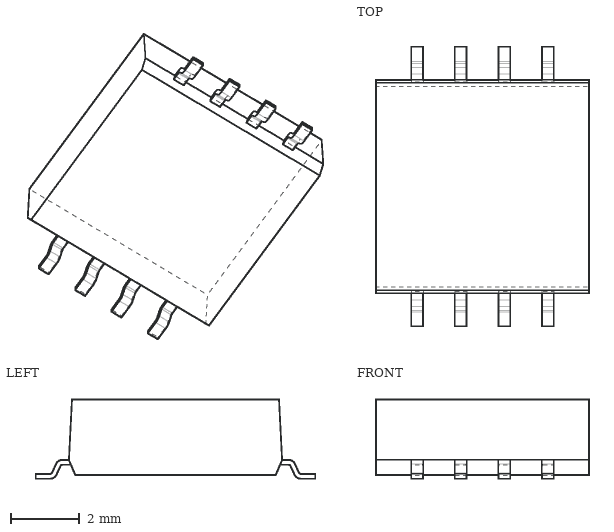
import cadquery as cq
import math

overall_length = 8.13
body_size = 6.2
overall_height = 2.31

standoff = 0.105
parting_height = 0.55
top_inset = 0.09
bottom_inset = 0.19

leads_per_side = 4
lead_pitch = 1.27
lead_width = 0.35
lead_thickness = 0.15
foot_length = 0.42
bend_inner_radius = 0.06
slope_angle = math.radians(65)
lead_embed = 0.16

half_body = body_size / 2
half_length = overall_length / 2


def make_body():
    half_outline = [
        (half_body - bottom_inset, standoff),
        (half_body, parting_height),
        (half_body - top_inset, overall_height),
    ]
    mirrored = [(-y, z) for y, z in reversed(half_outline)]
    profile = cq.Workplane("YZ").polyline(half_outline + mirrored).close()
    return profile.extrude(half_body, both=True)


def make_lead():
    """One lead on the +Y side, centred on X: a strip swept along its centre line."""
    foot_z = lead_thickness / 2
    shoulder_z = parting_height - lead_thickness / 2
    bend_radius = bend_inner_radius + lead_thickness / 2
    bend_run = bend_radius * math.sin(slope_angle)
    bend_rise = bend_radius * (1 - math.cos(slope_angle))
    slope_rise = shoulder_z - foot_z - 2 * bend_rise
    slope_run = slope_rise / math.tan(slope_angle)

    foot_end_y = half_length - foot_length
    slope_bottom_y = foot_end_y - bend_run
    slope_top_y = slope_bottom_y - slope_run
    shoulder_y = slope_top_y - bend_run

    centre_line = (
        cq.Workplane("YZ")
        .moveTo(half_length, foot_z)
        .lineTo(foot_end_y, foot_z)
        .tangentArcPoint((slope_bottom_y, foot_z + bend_rise), relative=False)
        .lineTo(slope_top_y, shoulder_z - bend_rise)
        .tangentArcPoint((shoulder_y, shoulder_z), relative=False)
        .lineTo(half_body - lead_embed, shoulder_z)
    )
    section = cq.Workplane("XZ", origin=(0, half_length, foot_z)).rect(lead_width, lead_thickness)
    return section.sweep(centre_line)


result = make_body()
lead = make_lead()
opposite_lead = lead.mirror("XZ")
for index in range(leads_per_side):
    lead_x = (index - (leads_per_side - 1) / 2) * lead_pitch
    result = result.union(lead.translate((lead_x, 0, 0)))
    result = result.union(opposite_lead.translate((lead_x, 0, 0)))